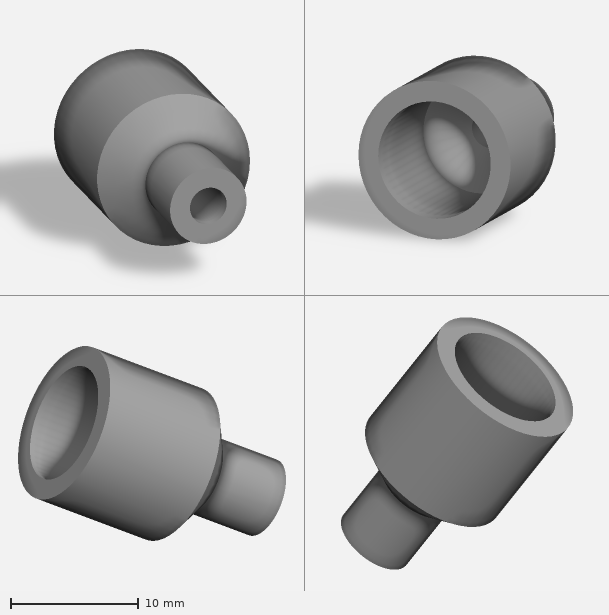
import cadquery as cq

total_length = 19.05
large_outer_diameter = 12.7
small_outer_diameter = 6.35
large_bore_diameter = 9.4
small_bore_diameter = 3.05

large_tube_length = 10.55
cone_length = 2.47
cone_end = large_tube_length + cone_length


def reducer_body(large_diameter, small_diameter):
    """Solid of revolution about X: large cylinder, cone, small cylinder."""
    large_radius = large_diameter / 2
    small_radius = small_diameter / 2
    return (
        cq.Workplane("XY")
        .moveTo(0, 0)
        .lineTo(0, large_radius)
        .lineTo(large_tube_length, large_radius)
        .lineTo(cone_end, small_radius)
        .lineTo(total_length, small_radius)
        .lineTo(total_length, 0)
        .close()
        .revolve(360, (0, 0, 0), (1, 0, 0))
    )


outside = reducer_body(large_outer_diameter, small_outer_diameter)
bore = reducer_body(large_bore_diameter, small_bore_diameter)

result = outside.cut(bore)